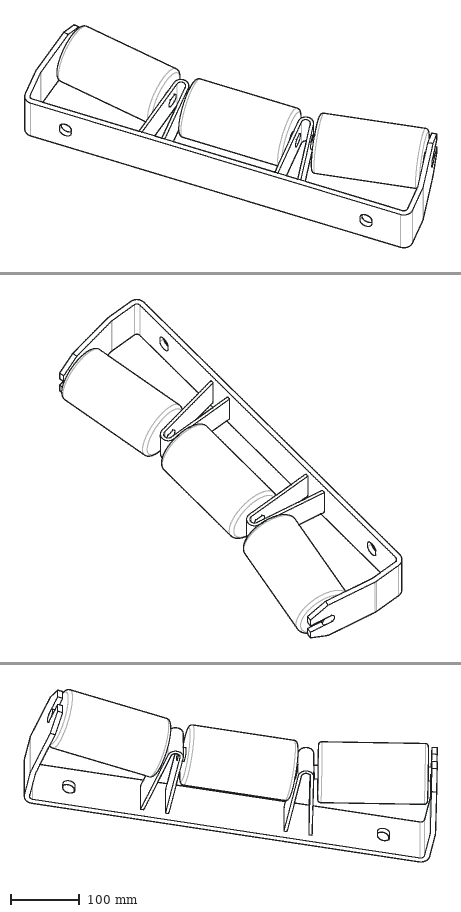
import cadquery as cq
import math

frame_length = 600.0
frame_height = 81.0
frame_sheet = 8.0
bend_radius = 9.5
tilt = 10.0
tilt_sin = math.sin(math.radians(tilt))
tilt_cos = math.cos(math.radians(tilt))

arm_bend_y = 57.0
arm_tip_y = 165.0
arm_corner_length = 30.0
arm_corner_height = 17.0

mount_x = 233.0
mount_slot_width = 18.0
mount_slot_height = 27.0

bracket_height = 53.0
bracket_sheet = 5.0
bracket_leg_x = 87.5
arch_center_y = 115.0
arch_radius = 9.0

roller_length = 159.5
roller_diameter = 89.0
roller_rounding = 5.0
middle_roller_y = 101.0
outer_roller_x = 195.0
outer_roller_y = 119.5

shaft_diameter = 20.5
shaft_across_flats = 17.0
shoulder_gap = 1.0

base_y = frame_sheet / 2
arm_x = frame_length / 2 - frame_sheet / 2
arm_tip_x = arm_x - (arm_tip_y - arm_bend_y) * tilt_sin / tilt_cos
apex_y = arch_center_y + arch_radius / math.tan(math.radians(tilt / 2))
foot_x = bracket_leg_x + (apex_y - base_y) * tilt_sin / tilt_cos

arm_reach = (arm_x - outer_roller_x) * tilt_cos - (outer_roller_y - arm_bend_y) * tilt_sin
leg_reach = (outer_roller_x - bracket_leg_x) * tilt_cos - (apex_y - outer_roller_y) * tilt_sin


def bent_sheet(points, radius, thickness, height):
    """Sheet of the given thickness that follows a polyline in XY, with every corner rounded."""
    path = cq.Wire.makePolygon([cq.Vector(x, y) for x, y in points]).fillet(radius)
    start = cq.Plane(origin=path.startPoint(), xDir=(0, 0, 1), normal=path.tangentAt(0))
    return cq.Workplane(start).rect(height, thickness).sweep(cq.Workplane(path))


def flatted_rod(start, end):
    """Round rod along X with two flats that face +Z and -Z."""
    rod = cq.Workplane("YZ", origin=(start, 0, 0)).circle(shaft_diameter / 2).extrude(end - start)
    flats = cq.Workplane("XY").box(2 * frame_length, shaft_diameter, shaft_across_flats)
    return rod.intersect(flats)


def place_left(body):
    """Move a body from the origin onto the tilted axis of the left outer roller."""
    return body.rotate((0, 0, 0), (0, 0, 1), -tilt).translate((-outer_roller_x, outer_roller_y, 0))


def with_mirror_image(body):
    """The body joined with its mirror image across X = 0."""
    return body.union(body.mirror("YZ"))


def roller(left_reach, left_sheet, right_reach, right_sheet):
    """Roller along X, its shaft ends passing through a sheet on each side and flush with its far face."""
    left_shoulder = left_reach - left_sheet / 2 - shoulder_gap
    right_shoulder = right_reach - right_sheet / 2 - shoulder_gap
    drum = (
        cq.Workplane("YZ", origin=(-roller_length / 2, 0, 0))
        .circle(roller_diameter / 2)
        .extrude(roller_length)
        .edges()
        .fillet(roller_rounding)
    )
    shaft = (
        cq.Workplane("YZ", origin=(-left_shoulder, 0, 0))
        .circle(shaft_diameter / 2)
        .extrude(left_shoulder + right_shoulder)
    )
    ends = flatted_rod(-left_reach - left_sheet / 2, right_reach + right_sheet / 2)
    return drum.union(shaft).union(ends)


def arm_cutter():
    """Shaft slot and the two sloped corners at the tip of the left arm, on the roller axis at the origin."""
    start_x = -arm_reach - frame_sheet
    depth = 2 * frame_sheet
    tip = (arm_tip_y - outer_roller_y - arm_reach * tilt_sin) / tilt_cos
    slot_end = cq.Workplane("XY").add(flatted_rod(start_x, start_x + depth))
    slot = (
        cq.Workplane("XY", origin=(start_x, 0, 0))
        .box(depth, tip + shaft_diameter, shaft_across_flats, centered=(False, False, True))
    )
    corner = (
        cq.Workplane("YZ", origin=(start_x, 0, 0))
        .moveTo(tip - arm_corner_length, frame_height / 2)
        .lineTo(tip, frame_height / 2 - arm_corner_height)
        .lineTo(tip + arm_corner_length, frame_height / 2 - arm_corner_height)
        .lineTo(tip + arm_corner_length, frame_height / 2)
        .close()
        .extrude(depth)
    )
    return slot.union(slot_end).union(corner).union(corner.mirror("XY"))


frame_path = [
    (-arm_tip_x, arm_tip_y),
    (-arm_x, arm_bend_y),
    (-arm_x, base_y),
    (arm_x, base_y),
    (arm_x, arm_bend_y),
    (arm_tip_x, arm_tip_y),
]
mount_slots = (
    cq.Workplane("XZ", origin=(0, frame_sheet, 0))
    .pushPoints([(-mount_x, 0), (mount_x, 0)])
    .slot2D(mount_slot_height, mount_slot_width, 90)
    .extrude(frame_sheet)
)
frame = (
    bent_sheet(frame_path, bend_radius, frame_sheet, frame_height)
    .cut(mount_slots)
    .cut(with_mirror_image(place_left(arm_cutter())))
)

middle_roller = roller(bracket_leg_x, bracket_sheet, bracket_leg_x, bracket_sheet)
middle_roller = middle_roller.translate((0, middle_roller_y, 0))
left_roller = place_left(roller(arm_reach, frame_sheet, leg_reach, bracket_sheet))
rollers = [left_roller, middle_roller, left_roller.mirror("YZ")]

bracket_path = [(-foot_x, base_y), (-bracket_leg_x, apex_y), (-bracket_leg_x, base_y)]
left_bracket = (
    bent_sheet(bracket_path, arch_radius, bracket_sheet, bracket_height)
    .cut(frame)
    .cut(left_roller)
    .cut(middle_roller)
)
brackets = [left_bracket, left_bracket.mirror("YZ")]

result = cq.Compound.makeCompound(
    [frame.val(), *[body.val() for body in brackets], *[body.val() for body in rollers]]
)